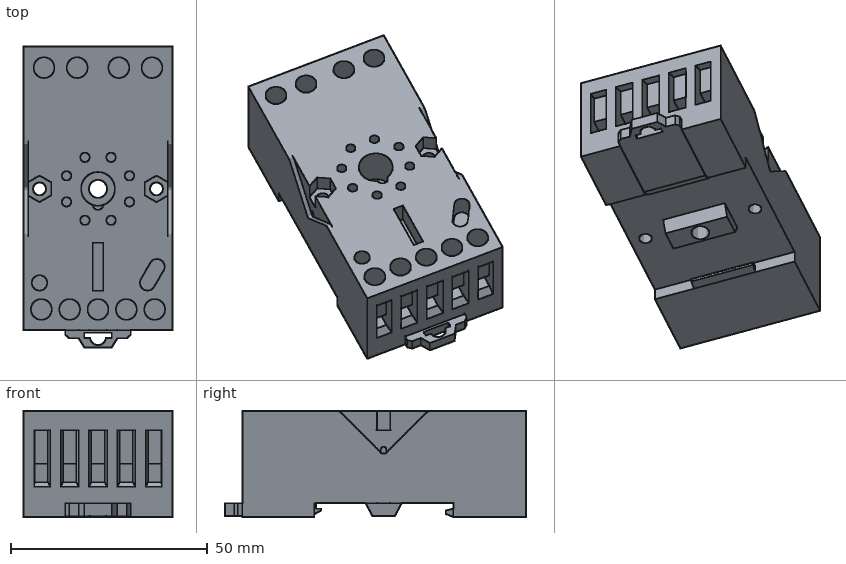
import cadquery as cq
import math


WIDTH = 38.0
TOTAL_LENGTH = 76.7
CLIP_REACH = 4.45
LENGTH = TOTAL_LENGTH - CLIP_REACH
HEIGHT = 27.0
HALF_WIDTH = WIDTH / 2
FRONT_Y = -LENGTH / 2
SOCKET_Y = -0.15

CHANNEL_HEIGHT = 3.5
CHANNEL_REAR_Y = 17.6
CHANNEL_FRONT_Y = -17.8

LIP_ROOT_Z = 2.15
LIP_TIP_Z = 1.7
HOOK_TIP_LOW_Z = 0.8
HOOK_REACH = 1.9

CLIP_WIDTH = 16.7
CLIP_BOTTOM_Z = 0.2
CLIP_END_Y = -17.3
CLIP_TIP_Y = -16.0
CLIP_WEDGE_Z = 0.7
CLIP_EAR_STRAIGHT = 1.15
CLIP_EAR_REACH = 2.1
CLIP_EAR_CHAMFER = 1.0
CLIP_TAB_ROOT_WIDTH = 9.8
CLIP_TAB_TIP_WIDTH = 6.9
CLIP_SLOT_WIDTH = 6.9
CLIP_SLOT_START = 0.7
CLIP_SLOT_END = 1.9
CLIP_NOTCH_RADIUS = 2.0
CLIP_NOTCH_CENTRE = 1.8

FOOT_TOP_LENGTH = 9.2
FOOT_BOTTOM_LENGTH = 5.75

SCREW_HOLE_DIAMETER = 5.3
SCREW_HOLE_DEPTH = 7.7
REAR_SCREW_Y = 30.7
FRONT_SCREW_Y = -30.8
REAR_SCREW_X = (-13.7, -5.3, 5.3, 13.7)
TERMINAL_PITCH = 7.2
TERMINAL_X = [TERMINAL_PITCH * i for i in (-2, -1, 0, 1, 2)]

ENTRY_TOP_Z = 22.1
ENTRY_BOTTOM_Z = 7.7
ENTRY_HALF_WIDTH = 2.3
ENTRY_LIMIT_X = 16.25
ENTRY_DEPTH = 1.9
CAVITY_TOP_Z = 13.6
CAVITY_BOTTOM_Z = 8.9
CAVITY_HALF_WIDTH = 1.7
CAVITY_DEPTH = 6.1

PIN_COUNT = 8
PIN_CIRCLE_RADIUS = 8.7
PIN_HOLE_DIAMETER = 2.4
PIN_HOLE_DEPTH = 7.7
SPIGOT_DIAMETER = 8.6
SPIGOT_DEPTH = 11.5
CENTRE_HOLE_DIAMETER = 4.5
KEY_RADIUS = 1.3
KEY_OFFSET = 4.1
KEY_DEPTH = 9.2

POCKET_DEPTH = 6.1
ROUND_POCKET_X = -14.9
ROUND_POCKET_Y = -24.1
ROUND_POCKET_DIAMETER = 3.9
OBLONG_CENTRE_X = 13.8
OBLONG_CENTRE_Y = -22.0
OBLONG_TRAVEL = 4.75
OBLONG_ANGLE = 60.0
LABEL_SLOT_WIDTH = 2.6
LABEL_SLOT_LENGTH = 12.3
LABEL_SLOT_Y = -19.95

MOUNT_X = 14.9
MOUNT_HOLE_DIAMETER = 3.2
HEX_DIAMETER = 6.75
HEX_DEPTH = 4.9

RECESS_DEPTH = 1.2
RECESS_HALF_SPAN = 11.3
RECESS_TOP_RADIUS = 2.0
RECESS_BOTTOM_RADIUS = 1.0
RECESS_SLOPE = math.radians(45)

WINDOW_WIDTH = 1.4
WINDOW_TOP_DEPTH = 9.1
WINDOW_BOTTOM_DEPTH = 10.8


def side_prism(points, x_start, x_end):
    """Prism along X with its outline given as (y, z) points."""
    return cq.Workplane("YZ", origin=(x_start, 0, 0)).polyline(points).close().extrude(x_end - x_start)


def box_between(low, high):
    """Axis-aligned box from its lowest corner to its highest corner."""
    size = [b - a for a, b in zip(low, high)]
    return cq.Workplane("XY", origin=low).box(*size, centered=False)


def top_plane():
    return cq.Workplane("XY", origin=(0, 0, HEIGHT))


def top_holes(points, diameter, depth):
    return top_plane().pushPoints(points).circle(diameter / 2).extrude(-depth)


def entry_corners(left, right, bottom):
    """Corners of a wire entry cross-section; every section ends at the same height."""
    return [(left, bottom), (right, bottom), (right, ENTRY_TOP_Z), (left, ENTRY_TOP_Z)]


def wire_entry(x):
    """Flared mouth in the front face with a deeper cavity behind its lower part."""
    left = max(x - ENTRY_HALF_WIDTH, -ENTRY_LIMIT_X)
    right = min(x + ENTRY_HALF_WIDTH, ENTRY_LIMIT_X)
    inner_left = x - CAVITY_HALF_WIDTH
    inner_right = x + CAVITY_HALF_WIDTH
    mouth = (
        cq.Workplane("XZ", origin=(0, FRONT_Y, 0))
        .polyline(entry_corners(left, right, ENTRY_BOTTOM_Z))
        .close()
        .workplane(offset=-ENTRY_DEPTH)
        .polyline(entry_corners(inner_left, inner_right, CAVITY_BOTTOM_Z))
        .close()
        .loft(ruled=True)
    )
    cavity = box_between(
        (inner_left, FRONT_Y + ENTRY_DEPTH, CAVITY_BOTTOM_Z),
        (inner_right, FRONT_Y + CAVITY_DEPTH, CAVITY_TOP_Z),
    )
    return mouth.union(cavity)


def side_recess():
    """V-shaped cut on the +X side: rounded at the bottom, and rolled over into the top face."""
    half_slope = RECESS_SLOPE / 2
    roll_start_y = RECESS_HALF_SPAN + RECESS_TOP_RADIUS * math.tan(half_slope)
    roll_centre_z = HEIGHT - RECESS_TOP_RADIUS
    roll_mid_y = roll_start_y - RECESS_TOP_RADIUS * math.sin(half_slope)
    roll_mid_z = roll_centre_z + RECESS_TOP_RADIUS * math.cos(half_slope)
    roll_end_y = roll_start_y - RECESS_TOP_RADIUS * math.sin(RECESS_SLOPE)
    roll_end_z = roll_centre_z + RECESS_TOP_RADIUS * math.cos(RECESS_SLOPE)

    apex_z = HEIGHT - RECESS_HALF_SPAN * math.tan(RECESS_SLOPE)
    bottom_centre_z = apex_z + RECESS_BOTTOM_RADIUS / math.cos(RECESS_SLOPE)
    bottom_y = RECESS_BOTTOM_RADIUS * math.sin(RECESS_SLOPE)
    bottom_z = bottom_centre_z - RECESS_BOTTOM_RADIUS * math.cos(RECESS_SLOPE)

    return (
        cq.Workplane("YZ", origin=(HALF_WIDTH - RECESS_DEPTH, 0, 0))
        .moveTo(-roll_start_y, HEIGHT)
        .threePointArc((-roll_mid_y, roll_mid_z), (-roll_end_y, roll_end_z))
        .lineTo(-bottom_y, bottom_z)
        .threePointArc((0, bottom_centre_z - RECESS_BOTTOM_RADIUS), (bottom_y, bottom_z))
        .lineTo(roll_end_y, roll_end_z)
        .threePointArc((roll_mid_y, roll_mid_z), (roll_start_y, HEIGHT))
        .close()
        .extrude(RECESS_DEPTH)
    )


def recess_window():
    """Round-topped window on the +X side, reaching in to the axis of the mounting hole."""
    radius = WINDOW_WIDTH / 2
    top_z = HEIGHT - WINDOW_TOP_DEPTH
    bottom_z = HEIGHT - WINDOW_BOTTOM_DEPTH
    return (
        cq.Workplane("YZ", origin=(MOUNT_X, 0, 0))
        .moveTo(-radius, bottom_z)
        .lineTo(radius, bottom_z)
        .lineTo(radius, top_z - radius)
        .threePointArc((0, top_z), (-radius, top_z - radius))
        .close()
        .extrude(HALF_WIDTH - RECESS_DEPTH - MOUNT_X)
    )


def mounting_side():
    """Everything cut on the +X side around one mounting screw."""
    hole = top_holes([(MOUNT_X, 0)], MOUNT_HOLE_DIAMETER, HEIGHT)
    hexagon = top_plane().center(MOUNT_X, 0).transformed(rotate=(0, 0, 90)).polygon(6, HEX_DIAMETER)
    hex_pocket = hexagon.extrude(-HEX_DEPTH)
    cutter = side_recess().union(recess_window()).union(hole).union(hex_pocket)
    return cutter.translate((0, SOCKET_Y, 0))


def relay_sockets():
    """Ring of pin holes around the keyed spigot hole."""
    pins = (
        top_plane()
        .polarArray(PIN_CIRCLE_RADIUS, 180 / PIN_COUNT, 360, PIN_COUNT)
        .circle(PIN_HOLE_DIAMETER / 2)
        .extrude(-PIN_HOLE_DEPTH)
    )
    spigot = top_holes([(0, 0)], SPIGOT_DIAMETER, SPIGOT_DEPTH)
    centre_hole = top_holes([(0, 0)], CENTRE_HOLE_DIAMETER, HEIGHT)
    key = top_holes([(0, -KEY_OFFSET)], 2 * KEY_RADIUS, KEY_DEPTH)
    return pins.union(spigot).union(centre_hole).union(key).translate((0, SOCKET_Y, 0))


def top_pockets():
    """Round, oblong and rectangular pockets near the front of the top face."""
    round_pocket = top_holes([(ROUND_POCKET_X, ROUND_POCKET_Y)], ROUND_POCKET_DIAMETER, POCKET_DEPTH)
    oblong = (
        top_plane()
        .center(OBLONG_CENTRE_X, OBLONG_CENTRE_Y)
        .slot2D(OBLONG_TRAVEL + ROUND_POCKET_DIAMETER, ROUND_POCKET_DIAMETER, OBLONG_ANGLE)
        .extrude(-POCKET_DEPTH)
    )
    label_slot = (
        top_plane().center(0, LABEL_SLOT_Y).rect(LABEL_SLOT_WIDTH, LABEL_SLOT_LENGTH).extrude(-POCKET_DEPTH)
    )
    return round_pocket.union(oblong).union(label_slot)


def rail_foot():
    """Tapered block under the middle of the channel ceiling."""
    foot = side_prism(
        [
            (-FOOT_TOP_LENGTH / 2, CHANNEL_HEIGHT),
            (-FOOT_BOTTOM_LENGTH / 2, CLIP_BOTTOM_Z),
            (FOOT_BOTTOM_LENGTH / 2, CLIP_BOTTOM_Z),
            (FOOT_TOP_LENGTH / 2, CHANNEL_HEIGHT),
        ],
        -CLIP_WIDTH / 2,
        CLIP_WIDTH / 2,
    )
    return foot.translate((0, SOCKET_Y, 0))


def rail_hook():
    """Fixed lip on the rear wall of the channel."""
    tip_y = CHANNEL_REAR_Y - HOOK_REACH
    return side_prism(
        [(CHANNEL_REAR_Y, 0), (CHANNEL_REAR_Y, LIP_ROOT_Z), (tip_y, LIP_TIP_Z), (tip_y, HOOK_TIP_LOW_Z)],
        -CLIP_WIDTH / 2,
        CLIP_WIDTH / 2,
    )


def make_housing():
    body = box_between((-HALF_WIDTH, FRONT_Y, 0), (HALF_WIDTH, -FRONT_Y, HEIGHT))
    channel = box_between((-HALF_WIDTH, CHANNEL_FRONT_Y, 0), (HALF_WIDTH, CHANNEL_REAR_Y, CHANNEL_HEIGHT))
    clip_guide = box_between((-CLIP_WIDTH / 2, FRONT_Y, 0), (CLIP_WIDTH / 2, CHANNEL_FRONT_Y, CHANNEL_HEIGHT))
    body = body.cut(channel).cut(clip_guide).union(rail_foot()).union(rail_hook())

    screw_points = [(x, REAR_SCREW_Y) for x in REAR_SCREW_X] + [(x, FRONT_SCREW_Y) for x in TERMINAL_X]
    body = body.cut(top_holes(screw_points, SCREW_HOLE_DIAMETER, SCREW_HOLE_DEPTH))
    for x in TERMINAL_X:
        body = body.cut(wire_entry(x))

    body = body.cut(relay_sockets()).cut(top_pockets())
    right_side = mounting_side()
    return body.cut(right_side).cut(right_side.mirror("YZ"))


def clip_outline():
    """Clip seen from above: straight tongue, chamfered ears and a tapered pull tab."""
    half = CLIP_WIDTH / 2
    right_edge = [
        (half, CLIP_TIP_Y),
        (half, FRONT_Y - CLIP_EAR_STRAIGHT),
        (half - CLIP_EAR_CHAMFER, FRONT_Y - CLIP_EAR_REACH),
        (CLIP_TAB_ROOT_WIDTH / 2, FRONT_Y - CLIP_EAR_REACH),
        (CLIP_TAB_TIP_WIDTH / 2, FRONT_Y - CLIP_REACH),
    ]
    left_edge = [(-x, y) for x, y in reversed(right_edge)]
    return cq.Workplane("XY").polyline(right_edge + left_edge).close().extrude(CHANNEL_HEIGHT)


def clip_side_profile():
    """Clip seen from the side: flat bar with a wedge-shaped rail lip at its inner end."""
    wedge_slope = (LIP_TIP_Z - CLIP_WEDGE_Z) / (CLIP_TIP_Y - CHANNEL_FRONT_Y)
    wedge_start_y = CHANNEL_FRONT_Y - (CLIP_WEDGE_Z - CLIP_BOTTOM_Z) / wedge_slope
    outer_y = FRONT_Y - CLIP_REACH
    return side_prism(
        [
            (outer_y, CLIP_BOTTOM_Z),
            (wedge_start_y, CLIP_BOTTOM_Z),
            (CLIP_TIP_Y, LIP_TIP_Z),
            (CLIP_TIP_Y, LIP_ROOT_Z),
            (CLIP_END_Y, LIP_ROOT_Z),
            (CLIP_END_Y, CHANNEL_HEIGHT),
            (outer_y, CHANNEL_HEIGHT),
        ],
        -CLIP_WIDTH / 2,
        CLIP_WIDTH / 2,
    )


def clip_opening():
    """Screwdriver opening in the pull tab: a slot with a round notch."""
    slot = box_between(
        (-CLIP_SLOT_WIDTH / 2, FRONT_Y - CLIP_SLOT_END, 0),
        (CLIP_SLOT_WIDTH / 2, FRONT_Y - CLIP_SLOT_START, CHANNEL_HEIGHT),
    )
    notch_circle = (
        cq.Workplane("XY", origin=(0, FRONT_Y - CLIP_NOTCH_CENTRE, 0))
        .circle(CLIP_NOTCH_RADIUS)
        .extrude(CHANNEL_HEIGHT)
    )
    beyond_slot = box_between(
        (-CLIP_SLOT_WIDTH / 2, FRONT_Y - CLIP_REACH, 0),
        (CLIP_SLOT_WIDTH / 2, FRONT_Y - CLIP_SLOT_END, CHANNEL_HEIGHT),
    )
    return slot.union(notch_circle.intersect(beyond_slot))


def make_clip():
    return clip_outline().intersect(clip_side_profile()).cut(clip_opening())


housing = make_housing()
clip = make_clip()

result = cq.Compound.makeCompound([housing.solids().val(), clip.solids().val()])